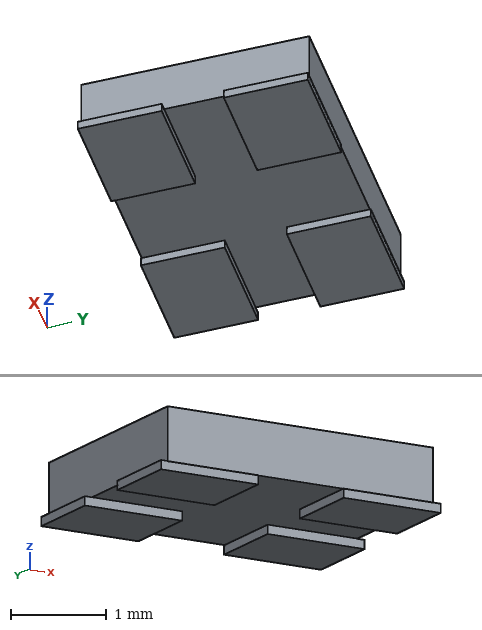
import cadquery as cq

overall_length = 3.37
overall_width = 2.52
overall_height = 0.7

body_length = 3.198
body_width = 2.5

pad_length = 1.17
pad_width = 0.92
pad_thickness = 0.1

body_height = overall_height - pad_thickness
pad_offset_x = (overall_length - pad_length) / 2
pad_offset_y = (overall_width - pad_width) / 2


def make_body():
    """Plain rectangular package resting on top of the pads."""
    return (
        cq.Workplane("XY")
        .workplane(offset=pad_thickness)
        .rect(body_length, body_width)
        .extrude(body_height)
    )


def make_pad(x_side, y_side):
    """Flat terminal pad at the corner given by the two signs."""
    return (
        cq.Workplane("XY")
        .center(x_side * pad_offset_x, y_side * pad_offset_y)
        .rect(pad_length, pad_width)
        .extrude(pad_thickness)
    )


body = make_body()
pads = [make_pad(x_side, y_side) for x_side in (-1, 1) for y_side in (-1, 1)]

result = cq.Compound.makeCompound([body.val(), *[pad.val() for pad in pads]])